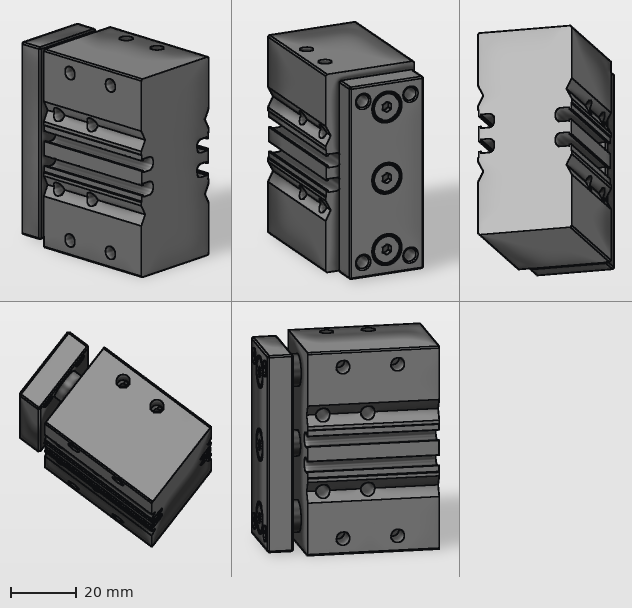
import cadquery as cq
import math

block_length = 41.0
block_width = 30.0
block_height = 64.0
block_chamfer = 0.5
half_width = block_width / 2
half_height = block_height / 2

plate_thickness = 8.0
plate_width = 25.0
plate_height = 62.0
plate_chamfer = 0.5
plate_gap = 4.0
block_front = plate_thickness + plate_gap

piston_rod_diameter = 8.0
guide_rod_diameter = 10.0
guide_rod_spacing = 46.0
guide_rod_offset = guide_rod_spacing / 2

screw_head_diameter = 8.5
screw_recess_diameter = 9.5
screw_rim_diameter = 10.1
screw_groove_depth = 1.0
socket_across_flats = 2.9
socket_depth = 2.0

plate_hole_diameter = 4.15
plate_hole_rim_diameter = 5.1
plate_hole_y = 8.0
plate_hole_z = 26.0

vee_offset = 12.0
vee_half_width = 3.25
vee_depth = 1.7

relief_half_height = 7.7
relief_depth = 0.25

slot_offset = 4.0
slot_mouth_half_width = 1.65
slot_half_width = 2.2
slot_mouth_depth = 0.65
slot_floor_half_width = 0.4
slot_depth = 5.25
slot_corner_radius = slot_half_width - slot_floor_half_width

through_hole_diameter = 4.3
through_hole_distances = (5.0, 19.0)
side_hole_diameter = 4.15
side_hole_distances = (11.0, 28.0)
side_hole_z = 27.0
side_hole_depth = 8.0

port_diameter = 4.15
port_distances = (11.0, 24.0)
port_y = 10.0
port_depth = 8.0
port_bore_diameter = 2.0
port_bore_depth = 4.0
port_keyway_width = 1.0
port_keyway_length = 2.0


def vee_groove(side, z):
    """V groove cutter, running the length of the block on the -Y (side -1) or +Y (side 1) face."""
    surface = side * half_width
    outline = [
        (surface, z - vee_half_width),
        (surface - side * vee_depth, z),
        (surface, z + vee_half_width),
    ]
    return cq.Workplane("YZ", origin=(block_front, 0, 0)).polyline(outline).close().extrude(block_length)


def relief(side):
    """Shallow flat cutter between the V grooves of one side."""
    surface = side * half_width
    floor = surface - side * relief_depth
    floor_half_height = relief_half_height - relief_depth
    outline = [
        (surface, -relief_half_height),
        (floor, -floor_half_height),
        (floor, floor_half_height),
        (surface, relief_half_height),
    ]
    return cq.Workplane("YZ", origin=(block_front, 0, 0)).polyline(outline).close().extrude(block_length)


def sensor_slot(side, z):
    """Sensor slot cutter with a narrow mouth and a floor rounded at both corners."""
    surface = side * half_width
    mouth_end = side * (half_width - relief_depth - slot_mouth_depth)
    floor = side * (half_width - slot_depth)
    corner = floor + side * slot_corner_radius
    arc_reach = slot_corner_radius * math.sqrt(0.5)
    arc_middle_y = corner - side * arc_reach
    arc_middle_z = slot_floor_half_width + arc_reach
    return (
        cq.Workplane("YZ", origin=(block_front, 0, 0))
        .moveTo(surface, z - slot_mouth_half_width)
        .lineTo(mouth_end, z - slot_mouth_half_width)
        .lineTo(mouth_end, z - slot_half_width)
        .lineTo(corner, z - slot_half_width)
        .threePointArc((arc_middle_y, z - arc_middle_z), (floor, z - slot_floor_half_width))
        .lineTo(floor, z + slot_floor_half_width)
        .threePointArc((arc_middle_y, z + arc_middle_z), (corner, z + slot_half_width))
        .lineTo(mouth_end, z + slot_half_width)
        .lineTo(mouth_end, z + slot_mouth_half_width)
        .lineTo(surface, z + slot_mouth_half_width)
        .close()
        .extrude(block_length)
    )


def cross_hole(x, z, diameter, depth):
    """Hole cutter going into the block along +Y from its -Y face."""
    return cq.Workplane("XZ", origin=(x, -half_width, z)).circle(diameter / 2).extrude(-depth)


def port(x):
    """Air port cutter going down from the top face."""
    floor_z = half_height - port_depth
    entry = (
        cq.Workplane("XY", origin=(x, port_y, floor_z))
        .circle(port_diameter / 2)
        .extrude(port_depth)
    )
    bore = (
        cq.Workplane("XY", origin=(x, port_y, floor_z))
        .circle(port_bore_diameter / 2)
        .extrude(-port_bore_depth)
    )
    keyway = (
        cq.Workplane("XZ", origin=(x, port_y, floor_z))
        .circle(port_keyway_width / 2)
        .extrude(-port_keyway_length)
    )
    return entry.union(bore).union(keyway)


def make_block():
    block = (
        cq.Workplane("XY")
        .box(block_length, block_width, block_height)
        .translate((block_front + block_length / 2, 0, 0))
        .edges("|X")
        .chamfer(block_chamfer)
    )
    for side in (-1, 1):
        block = block.cut(relief(side))
        for end in (-1, 1):
            block = block.cut(vee_groove(side, end * vee_offset))
            block = block.cut(sensor_slot(side, end * slot_offset))
    for end in (-1, 1):
        for distance in through_hole_distances:
            x = block_front + distance
            block = block.cut(cross_hole(x, end * vee_offset, through_hole_diameter, block_width))
        for distance in side_hole_distances:
            x = block_front + distance
            block = block.cut(cross_hole(x, end * side_hole_z, side_hole_diameter, side_hole_depth))
    for distance in port_distances:
        block = block.cut(port(block_front + distance))
    return block


def rod(z, diameter):
    """Rod from the back of the plate to the front of the block."""
    return cq.Workplane("YZ", origin=(plate_thickness, 0, z)).circle(diameter / 2).extrude(plate_gap)


def screw_groove(z):
    """Ring cutter around a screw head, revolved about the axis of the head."""
    head_radius = screw_head_diameter / 2
    recess_radius = screw_recess_diameter / 2
    rim_radius = screw_rim_diameter / 2
    outline = [
        (0, head_radius),
        (screw_groove_depth, head_radius),
        (screw_groove_depth, recess_radius),
        (rim_radius - recess_radius, recess_radius),
        (0, rim_radius),
    ]
    ring = cq.Workplane("XY").polyline(outline).close().revolve(360, (0, 0, 0), (1, 0, 0))
    return ring.translate((0, 0, z))


def screw_socket(z):
    """Hexagonal socket cutter with two corners pointing up and down."""
    across_corners = socket_across_flats / math.cos(math.radians(30))
    return (
        cq.Workplane("YZ", origin=(0, 0, z))
        .transformed(rotate=(0, 0, 90))
        .polygon(6, across_corners)
        .extrude(socket_depth)
    )


def plate_hole(y, z):
    """Through hole cutter with a 45 degree chamfer on the front face of the plate."""
    hole_radius = plate_hole_diameter / 2
    rim_radius = plate_hole_rim_diameter / 2
    outline = [
        (0, 0),
        (0, rim_radius),
        (rim_radius - hole_radius, hole_radius),
        (plate_thickness, hole_radius),
        (plate_thickness, 0),
    ]
    hole = cq.Workplane("XY").polyline(outline).close().revolve(360, (0, 0, 0), (1, 0, 0))
    return hole.translate((0, y, z))


def make_plate():
    plate = (
        cq.Workplane("XY")
        .box(plate_thickness, plate_width, plate_height)
        .translate((plate_thickness / 2, 0, 0))
        .edges()
        .chamfer(plate_chamfer)
    )
    plate = plate.union(rod(0, piston_rod_diameter))
    for end in (-1, 1):
        plate = plate.union(rod(end * guide_rod_offset, guide_rod_diameter))
    for z in (-guide_rod_offset, 0, guide_rod_offset):
        plate = plate.cut(screw_groove(z)).cut(screw_socket(z))
    for y in (-plate_hole_y, plate_hole_y):
        for z in (-plate_hole_z, plate_hole_z):
            plate = plate.cut(plate_hole(y, z))
    return plate


block = make_block()
plate = make_plate()
result = cq.Compound.makeCompound([block.val(), plate.val()])